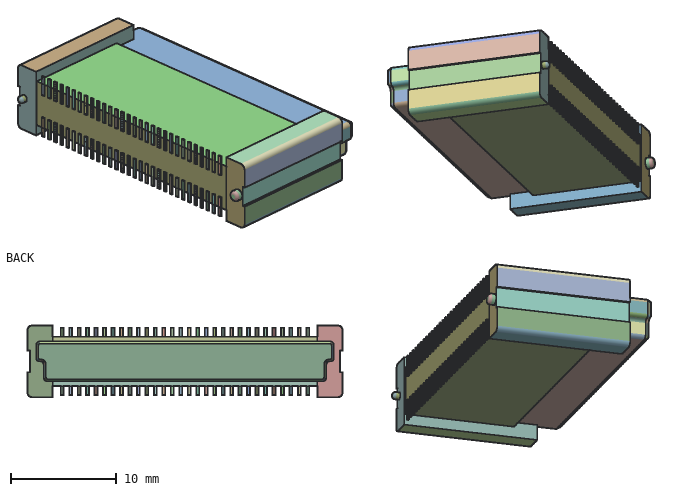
import cadquery as cq
import math

width = 29.8
depth = 16.4
height = 6.8
mating_y = depth / 2
peg_tip_y = -depth / 2

block_width = 2.38
block_corner_radius = 0.48
block_setback = 2.45
notch_depth = 0.25
notch_height = 2.03

body_height = 4.68
body_setback = 4.77

tongue_width = 28.13
tongue_height = 3.78
tongue_corner_radius = 0.4
key_step = 0.72
key_radius = 0.33
lead_in_length = 0.4
lead_in_inset = 0.2

contacts_per_row = 30
contact_row_span = 23.2
contact_width = 0.3
contact_thickness = 0.12
contact_inner_z = 1.2
contact_outer_z = 3.2

peg_length = 0.7
peg_offset_x = tongue_width / 2
small_peg_radius = 0.35
large_peg_radius = 0.55
peg_rounding = 0.3

block_front_y = peg_tip_y + peg_length
block_back_y = mating_y - block_setback
body_front_y = block_front_y + contact_thickness
body_back_y = mating_y - body_setback
lead_in_y = mating_y - lead_in_length


def box(x_range, y_range, z_range):
    """Axis-aligned box between the given limits."""
    size = [high - low for low, high in (x_range, y_range, z_range)]
    corner = cq.Vector(x_range[0], y_range[0], z_range[0])
    return cq.Workplane(cq.Solid.makeBox(*size, corner))


def end_block(side):
    """Block at one end (side is -1 or +1), with rounded outer edges and a long outer notch."""
    outer_x = side * width / 2
    inner_x = side * (width / 2 - block_width)
    x_range = sorted((inner_x, outer_x))
    block = box(x_range, (block_front_y, block_back_y), (-height / 2, height / 2))
    outer_face = ">X" if side > 0 else "<X"
    block = block.faces(outer_face).edges("|Y").fillet(block_corner_radius)
    notch_x_range = sorted((outer_x - side * notch_depth, outer_x))
    notch = box(notch_x_range, (block_front_y, block_back_y), (-notch_height / 2, notch_height / 2))
    return block.cut(notch)


def central_body():
    half_x = width / 2 - block_width
    return box((-half_x, half_x), (body_front_y, body_back_y), (-body_height / 2, body_height / 2))


def tongue_profile(start_y):
    """Outline of the tongue in the XZ plane: a wide upper half over a narrower lower half."""
    upper_x = tongue_width / 2
    lower_x = upper_x - key_step
    half_z = tongue_height / 2
    right_side = [(lower_x, -half_z), (lower_x, 0), (upper_x, 0), (upper_x, half_z)]
    left_side = [(-x, z) for x, z in reversed(right_side)]
    blank = cq.Sketch().polygon(right_side + left_side + right_side[:1])
    blank = blank.vertices("not (>Y or <Y)").fillet(key_radius).reset()
    blank = blank.vertices(">Y or <Y").fillet(tongue_corner_radius).reset()
    return cq.Workplane("XZ", origin=(0, start_y, 0)).placeSketch(blank)


def tongue():
    """Keyed tongue with a tapered lead-in at its mating end."""
    shank = tongue_profile(body_front_y).extrude(body_front_y - lead_in_y)
    taper_angle = math.degrees(math.atan2(lead_in_inset, lead_in_length))
    lead_in = tongue_profile(lead_in_y).extrude(-lead_in_length, taper=taper_angle)
    return shank.union(lead_in)


def contact(x, row):
    """Flat contact tail on the board face; row is -1 (lower) or +1 (upper)."""
    x_range = (x - contact_width / 2, x + contact_width / 2)
    z_range = sorted((row * contact_inner_z, row * contact_outer_z))
    return box(x_range, (block_front_y, body_front_y), z_range)


def peg(x, radius):
    """Locating peg with a rounded tip, standing on the board face of an end block."""
    plane = cq.Workplane("XZ", origin=(x, block_front_y, 0))
    return plane.circle(radius).extrude(peg_length).faces("<Y").edges().fillet(peg_rounding)


result = central_body().union(tongue())

for side in (-1, 1):
    result = result.union(end_block(side))

contact_pitch = contact_row_span / (contacts_per_row - 1)
for index in range(contacts_per_row):
    contact_x = -contact_row_span / 2 + index * contact_pitch
    for row in (-1, 1):
        result = result.union(contact(contact_x, row))

result = result.union(peg(-peg_offset_x, small_peg_radius))
result = result.union(peg(peg_offset_x, large_peg_radius))